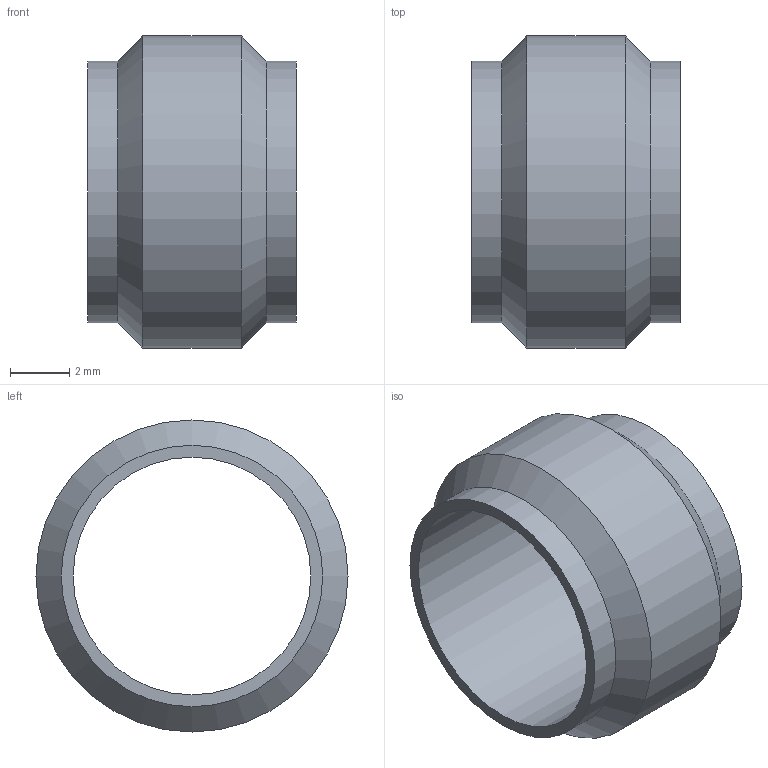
import cadquery as cq

length = 7.0
body_diameter = 10.5
collar_diameter = 8.8
bore_diameter = 8.0
collar_length = 1.0

body_radius = body_diameter / 2
collar_radius = collar_diameter / 2
bore_radius = bore_diameter / 2
cone_length = body_radius - collar_radius

end_x = length / 2
shoulder_x = end_x - collar_length
body_x = shoulder_x - cone_length


def make_sleeve():
    """Revolve the half section, drawn on the -Y side, about the X axis."""
    section = (
        cq.Workplane("XY")
        .moveTo(-end_x, -bore_radius)
        .lineTo(-end_x, -collar_radius)
        .lineTo(-shoulder_x, -collar_radius)
        .lineTo(-body_x, -body_radius)
        .lineTo(body_x, -body_radius)
        .lineTo(shoulder_x, -collar_radius)
        .lineTo(end_x, -collar_radius)
        .lineTo(end_x, -bore_radius)
        .close()
    )
    return section.revolve(360, (0, 0, 0), (1, 0, 0))


result = make_sleeve()